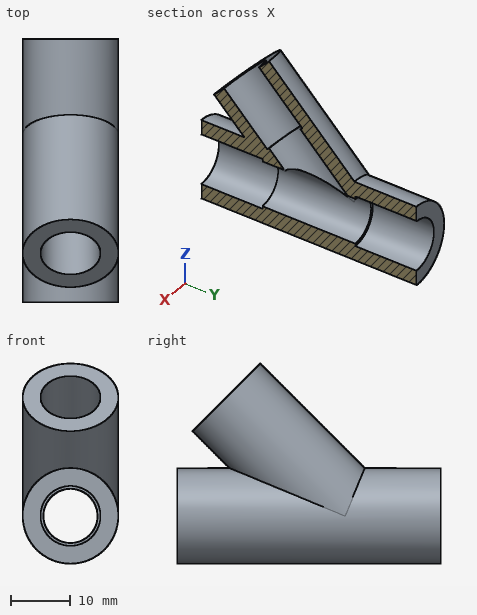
import cadquery as cq

OUTER_DIAMETER = 16.0
BORE_DIAMETER = 9.0
SOCKET_DIAMETER = 10.0
SOCKET_DEPTH = 12.5

LONG_ARM_LENGTH = 28.0
SHORT_ARM_LENGTH = 16.0
BRANCH_LENGTH = LONG_ARM_LENGTH

FRONT = cq.Vector(0, -1, 0)
BACK = cq.Vector(0, 1, 0)
BRANCH = cq.Vector(0, -1, 1).normalized()

ARMS = [
    (FRONT, LONG_ARM_LENGTH),
    (BACK, SHORT_ARM_LENGTH),
    (BRANCH, BRANCH_LENGTH),
]


def rod(diameter, direction, start, end):
    """Solid cylinder on an arm axis, between two distances from the origin."""
    return cq.Workplane(
        cq.Solid.makeCylinder(diameter / 2, end - start, direction * start, direction)
    )


def outer_body():
    """Union of the full-length run and the branch."""
    run = rod(OUTER_DIAMETER, FRONT, -SHORT_ARM_LENGTH, LONG_ARM_LENGTH)
    return run.union(rod(OUTER_DIAMETER, BRANCH, 0, BRANCH_LENGTH))


def cut_bores(body):
    """Bore the run right through, and the branch down to the run's axis."""
    body = body.cut(rod(BORE_DIAMETER, FRONT, -SHORT_ARM_LENGTH, LONG_ARM_LENGTH))
    return body.cut(rod(BORE_DIAMETER, BRANCH, 0, BRANCH_LENGTH))


def cut_sockets(body):
    """Widen the open end of every arm to take a pipe."""
    for direction, length in ARMS:
        body = body.cut(rod(SOCKET_DIAMETER, direction, length - SOCKET_DEPTH, length))
    return body


result = cut_sockets(cut_bores(outer_body()))